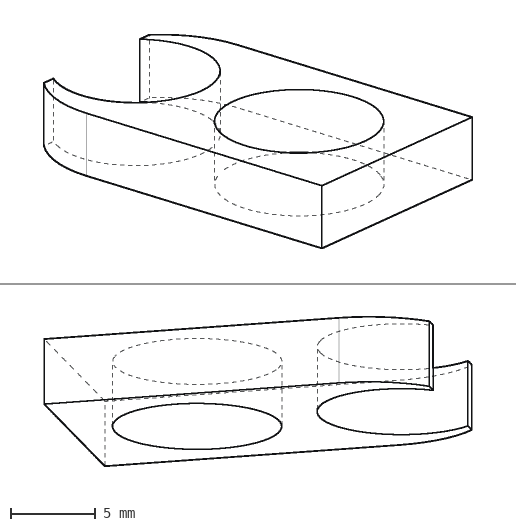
import cadquery as cq
import math

length = 23.0
width = 14.0
thickness = 4.0
bore_diameter = 10.0
open_bore_x = 3.0
closed_bore_x = 15.5
nose_center_x = 5.0

nose_radius = width / 2
tip_y = math.sqrt(nose_radius**2 - nose_center_x**2)
arc_mid_angle = (math.pi / 2 + math.atan2(tip_y, -nose_center_x)) / 2
arc_mid_x = nose_center_x + nose_radius * math.cos(arc_mid_angle)
arc_mid_y = nose_radius * math.sin(arc_mid_angle)

plate = (
    cq.Workplane("XY")
    .moveTo(nose_center_x, -width / 2)
    .lineTo(length, -width / 2)
    .lineTo(length, width / 2)
    .lineTo(nose_center_x, width / 2)
    .threePointArc((arc_mid_x, arc_mid_y), (0, tip_y))
    .lineTo(0, -tip_y)
    .threePointArc((arc_mid_x, -arc_mid_y), (nose_center_x, -width / 2))
    .close()
    .extrude(thickness)
)

bores = (
    cq.Workplane("XY")
    .pushPoints([(open_bore_x, 0), (closed_bore_x, 0)])
    .circle(bore_diameter / 2)
    .extrude(thickness)
)

result = plate.cut(bores)